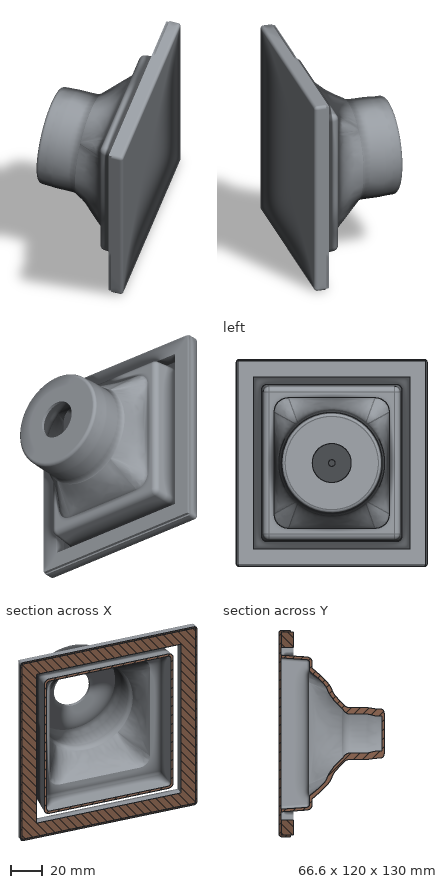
import cadquery as cq
import math

plate_width = 120.0
plate_height = 130.0
plate_round = 2.0
plate_wall = 1.0
floor_thickness = 1.5
center_hole_diameter = 4.2
center_hole_depth = 0.75

frame_thickness = 8.0
frame_proud = 2.0
frame_width = plate_width - 2 * plate_wall
frame_height = plate_height - 2 * plate_wall
window_width = 98.0
window_height = 108.0

total_depth = 66.57
floor_x = total_depth - floor_thickness
frame_x = floor_x - frame_thickness
rim_x = frame_x + frame_proud

shell = 2.0
nozzle_draft = 3.0
nozzle_radius = 31.75
nozzle_lip_round = 2.0
taper_end_x = 11.05
taper_blend_length = 0.45
flare_start_x = 22.3
flare_end_x = 26.2
flare_radius = 33.0
blend_start_x = 26.5
blend_start_radius = 33.25
nozzle_bore_radius = 12.25
blend_width = 72.4
blend_height = 82.0
blend_corner = 9.0
flare_corner_angle = 2.5
box_front_x = 45.4
box_base_width = 88.4
box_base_height = 98.7
box_draft = 4.0
box_round = 3.7


def block(start_x, end_x, width, height):
    """Rectangular block centred on the X axis."""
    return cq.Workplane("YZ", origin=(start_x, 0, 0)).rect(width, height).extrude(end_x - start_x)


def nozzle_solid(inset):
    """Tapered round nozzle with a flared end, drawn in by inset from the outer surface."""
    radius = nozzle_radius - inset
    end_radius = flare_radius - inset
    face_x = inset
    slope = math.radians(nozzle_draft)
    face_radius = radius - (taper_end_x - face_x) * math.tan(slope)
    taper_tangent = (
        taper_end_x - taper_blend_length * math.cos(slope),
        radius - taper_blend_length * math.sin(slope),
    )

    flare_length = flare_end_x - flare_start_x
    flare_rise = end_radius - radius
    arc_radius = (flare_length**2 + flare_rise**2) / (2 * flare_rise)
    half_angle = math.asin(flare_length / arc_radius) / 2
    flare_middle = (
        flare_start_x + arc_radius * math.sin(half_angle),
        radius + arc_radius * (1 - math.cos(half_angle)),
    )
    nozzle = (
        cq.Workplane("XY")
        .moveTo(face_x, 0)
        .lineTo(face_x, face_radius)
        .lineTo(*taper_tangent)
        .tangentArcPoint((taper_end_x + taper_blend_length, radius), relative=False)
        .lineTo(flare_start_x, radius)
        .threePointArc(flare_middle, (flare_end_x, end_radius))
        .lineTo(blend_start_x, blend_start_radius - inset)
        .lineTo(blend_start_x, 0)
        .close()
        .revolve(360, (0, 0, 0), (1, 0, 0))
    )
    if inset < nozzle_lip_round:
        nozzle = nozzle.faces("<X").edges().fillet(nozzle_lip_round - inset)
    return nozzle


def blend_solid(inset):
    """Loft from the round flare to the rounded rectangle on the front of the box."""
    half_width = blend_width / 2 - inset
    half_height = blend_height / 2 - inset
    corner = blend_corner - inset
    radius = blend_start_radius - inset
    diagonal = math.atan2(blend_height, blend_width)
    half_corner = math.radians(flare_corner_angle) / 2

    def on_circle(angle):
        return (radius * math.cos(angle), radius * math.sin(angle))

    corners = [diagonal, math.pi - diagonal, math.pi + diagonal, 2 * math.pi - diagonal]
    circle = cq.Workplane("YZ", origin=(blend_start_x, 0, 0))
    circle = circle.moveTo(*on_circle(half_corner - diagonal))
    previous = -diagonal
    for angle in corners:
        circle = circle.threePointArc(on_circle((previous + angle) / 2), on_circle(angle - half_corner))
        circle = circle.threePointArc(on_circle(angle), on_circle(angle + half_corner))
        previous = angle
    circle = circle.wire()

    rectangle = cq.Workplane("YZ", origin=(box_front_x + inset, 0, 0))
    rectangle = rectangle.moveTo(half_width, corner - half_height)
    corner_inset = corner * (1 - math.sqrt(0.5))
    for side_y, side_z in [(1, 1), (-1, 1), (-1, -1), (1, -1)]:
        along_height = (side_y * half_width, side_z * (half_height - corner))
        along_width = (side_y * (half_width - corner), side_z * half_height)
        middle = (side_y * (half_width - corner_inset), side_z * (half_height - corner_inset))
        if side_y == side_z:
            start, end = along_height, along_width
        else:
            start, end = along_width, along_height
        rectangle = rectangle.lineTo(*start).threePointArc(middle, end)
    rectangle = rectangle.wire()
    return cq.Workplane(cq.Solid.makeLoft([circle.val(), rectangle.val()], True))


def box_solid(inset):
    """Drafted box with rounded front and corner edges."""
    return (
        cq.Workplane("YZ", origin=(floor_x, 0, 0))
        .rect(box_base_width - 2 * inset, box_base_height - 2 * inset)
        .extrude(box_front_x + inset - floor_x, taper=box_draft)
        .edges("not >X")
        .fillet(box_round - inset)
    )


def shroud_form(inset):
    """Nozzle, blend and box joined in one form."""
    return nozzle_solid(inset).union(blend_solid(inset)).union(box_solid(inset))


def make_shroud():
    """Thin shell, open at the back, with a round opening in the nozzle face."""
    bore = cq.Workplane("YZ").circle(nozzle_bore_radius).extrude(2 * shell)
    return shroud_form(0).cut(shroud_form(shell)).cut(bore)


def make_frame():
    """Flat rectangular frame around the box."""
    window = block(frame_x, floor_x, window_width, window_height)
    return block(frame_x, floor_x, frame_width, frame_height).cut(window)


def make_plate():
    """Tray that holds the frame, with a shallow hole at the middle of its floor."""
    outer = block(rim_x, total_depth, plate_width, plate_height).edges("|X or >X").fillet(plate_round)
    recess = block(rim_x, floor_x, frame_width, frame_height)
    hole = (
        cq.Workplane("YZ", origin=(floor_x, 0, 0))
        .circle(center_hole_diameter / 2)
        .extrude(center_hole_depth)
    )
    return outer.cut(recess).cut(hole)


shroud = make_shroud()
frame = make_frame()
plate = make_plate()
result = cq.Compound.makeCompound([shroud.solids().val(), frame.solids().val(), plate.solids().val()])